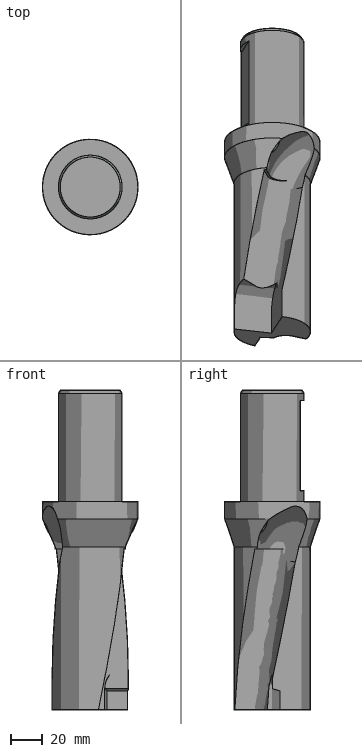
import cadquery as cq
import math

TOTAL_LENGTH = 200.66
SHANK_LENGTH = 70.0
SHANK_RADIUS = 20.0
CHAMFER_HEIGHT = 2.0
CHAMFER_WIDTH = 1.2
COLLAR_RADIUS = 30.0
BODY_RADIUS = 24.0
COLLAR_TOP = TOTAL_LENGTH - SHANK_LENGTH
COLLAR_RIM_HEIGHT = 10.7
CONE_HEIGHT = 17.6
COLLAR_RIM_BOTTOM = COLLAR_TOP - COLLAR_RIM_HEIGHT
CONE_BOTTOM = COLLAR_RIM_BOTTOM - CONE_HEIGHT

FLAT_DISTANCE = 17.7
FLAT_TOP = TOTAL_LENGTH - 6.5
FLAT_BOTTOM = COLLAR_TOP + 7.0

TWIST_RATE = 0.5
LEADING_WALL_ANGLE = 102.3
TRAILING_WALL_ANGLE = 170.5
ROOT_RADIUS = 10.0
FLUTE_TOP = 101.0
FLUTE_REACH = BODY_RADIUS + 5.0

RUNOUT_SLOPE = 0.36
RUNOUT_START_SIDE = 18.0
RUNOUT_DIRECTION = 206.0
RUNOUT_AXIS_DISTANCE = 43.0
RUNOUT_NARROWING = 5.0
RUNOUT_TURN = 90.0

POCKET_ARC_START = 13.4
INNER_POCKET_FLOOR = -2.0
INNER_POCKET_ARC = 16.0
OUTER_POCKET_FLOOR = 9.1
OUTER_POCKET_ARC = 13.4

SEAT_DEPTH = 5.0
SEAT_FLANK_ANGLE = 17.0

CLEARANCE = 10.0


def polar(radius, angle):
    return (radius * math.cos(math.radians(angle)), radius * math.sin(math.radians(angle)))


def make_blank():
    outline = (
        cq.Workplane("XZ")
        .lineTo(BODY_RADIUS, 0)
        .lineTo(BODY_RADIUS, CONE_BOTTOM)
        .lineTo(COLLAR_RADIUS, COLLAR_RIM_BOTTOM)
        .lineTo(COLLAR_RADIUS, COLLAR_TOP)
        .lineTo(SHANK_RADIUS, COLLAR_TOP)
        .lineTo(SHANK_RADIUS, TOTAL_LENGTH - CHAMFER_HEIGHT)
        .lineTo(SHANK_RADIUS - CHAMFER_WIDTH, TOTAL_LENGTH)
        .lineTo(0, TOTAL_LENGTH)
        .close()
    )
    return outline.revolve(360, (0, 0), (0, 1))


def make_shank_flat():
    height = FLAT_TOP - FLAT_BOTTOM
    cutter = cq.Workplane("XY").box(
        2 * COLLAR_RADIUS, CLEARANCE, height, centered=(True, False, False)
    )
    return cutter.translate((0, FLAT_DISTANCE, FLAT_BOTTOM))


def flute_section(plane, turn, narrowing=0):
    """Rounded V between the two flute walls, turned about the drill axis."""
    leading = LEADING_WALL_ANGLE + turn + narrowing
    trailing = TRAILING_WALL_ANGLE + turn
    middle = (leading + trailing) / 2
    half_angle = math.radians((trailing - leading) / 2)
    tangent_length = ROOT_RADIUS / math.tan(half_angle)
    root_distance = ROOT_RADIUS / math.sin(half_angle) - ROOT_RADIUS
    return (
        plane.moveTo(*polar(FLUTE_REACH, leading))
        .lineTo(*polar(tangent_length, leading))
        .threePointArc(polar(root_distance, middle), polar(tangent_length, trailing))
        .lineTo(*polar(FLUTE_REACH, trailing))
        .threePointArc(polar(FLUTE_REACH, middle), polar(FLUTE_REACH, leading))
        .close()
    )


def make_helical_flute():
    section = flute_section(cq.Workplane("XY"), 0)
    return section.twistExtrude(FLUTE_TOP, TWIST_RATE * FLUTE_TOP)


def make_runout():
    """Flute section turned outward about a leaning axis beside the drill."""
    direction = math.radians(RUNOUT_DIRECTION)
    outward = (math.cos(direction), math.sin(direction), 0)
    lean = (-RUNOUT_SLOPE * math.sin(direction), RUNOUT_SLOPE * math.cos(direction), 1)
    start_height = FLUTE_TOP - RUNOUT_SLOPE * RUNOUT_START_SIDE
    plane = cq.Plane(origin=(0, 0, start_height), xDir=outward, normal=lean)
    turn = TWIST_RATE * start_height - RUNOUT_DIRECTION
    section = flute_section(cq.Workplane(plane), turn, RUNOUT_NARROWING)
    return section.revolve(RUNOUT_TURN, (RUNOUT_AXIS_DISTANCE, 0), (RUNOUT_AXIS_DISTANCE, 1))


def make_pocket(floor, arc_radius):
    """Quadrant x < -floor, y > 0, closed at the top by a round ceiling."""
    reach = COLLAR_RADIUS + CLEARANCE
    top = POCKET_ARC_START + arc_radius
    diagonal = arc_radius * math.sqrt(0.5)
    arc_centre = -floor - arc_radius
    return (
        cq.Workplane("XZ")
        .moveTo(-floor, -CLEARANCE)
        .lineTo(-floor, POCKET_ARC_START)
        .threePointArc((arc_centre + diagonal, POCKET_ARC_START + diagonal), (arc_centre, top))
        .lineTo(-reach, top)
        .lineTo(-reach, -CLEARANCE)
        .close()
        .extrude(-reach)
    )


def make_seat():
    """Insert seat sunk into the wall of the outer pocket, narrowing with depth."""
    reach = COLLAR_RADIUS + CLEARANCE
    width = reach - OUTER_POCKET_FLOOR
    height = POCKET_ARC_START + CLEARANCE
    return (
        cq.Workplane("XZ")
        .center(OUTER_POCKET_FLOOR + width / 2, POCKET_ARC_START - height / 2)
        .rect(width, height)
        .extrude(-SEAT_DEPTH, taper=SEAT_FLANK_ANGLE)
    )


def half_turn(cutter):
    return cutter.rotate((0, 0, 0), (0, 0, 1), 180)


result = make_blank().cut(make_shank_flat())
for flute_part in (make_helical_flute(), make_runout()):
    result = result.cut(flute_part).cut(half_turn(flute_part))
result = result.cut(make_pocket(INNER_POCKET_FLOOR, INNER_POCKET_ARC))
result = result.cut(half_turn(make_pocket(OUTER_POCKET_FLOOR, OUTER_POCKET_ARC)))
result = result.cut(make_seat())